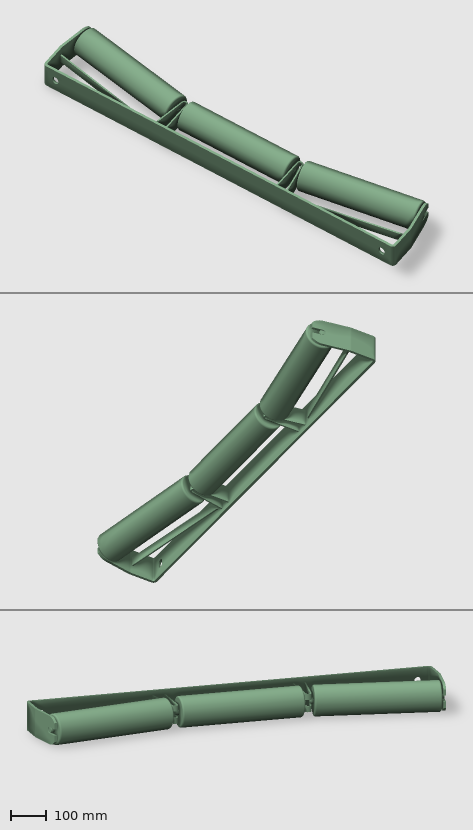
import cadquery as cq
import math

frame_length = 1190.0
frame_depth = 82.0
frame_thickness = 7.7
bend_radius = 12.0
crease_height = 86.0
crease_radius = 12.0
lean_length = 115.0
mount_hole_x = 553.0
mount_hole_width = 20.0
mount_hole_height = 26.0

tilt = 10.0
roller_diameter = 89.0
roller_length = 359.0
roller_edge_radius = 5.0
middle_roller_y = 101.0
outer_roller_x = 392.0
outer_roller_y = 136.0
shaft_diameter = 18.0
shaft_flat_width = 14.0
shaft_stub = 11.0

bracket_depth = 52.0
bracket_thickness = 4.3
bracket_bend_radius = 10.1
bracket_upright_x = 186.0
bracket_bend_y = 117.0

brace_depth = 29.0
brace_thickness = 5.0
brace_wall_height = 80.0
brace_end_x = 244.0
brace_slope = 11.0

tilt_sin = math.sin(math.radians(tilt))
tilt_cos = math.cos(math.radians(tilt))
tilt_tan = math.tan(math.radians(tilt))
wall_inner_x = frame_length / 2 - frame_thickness
slot_reach = 19.0
slot_cut_height = 71.0

roller_places = [
    (-outer_roller_x, outer_roller_y, -tilt),
    (0, middle_roller_y, 0),
    (outer_roller_x, outer_roller_y, tilt),
]


def place(shape, x, y, angle):
    """Move a shape made along X at the origin to a roller position."""
    return shape.rotate((0, 0, 0), (0, 0, 1), angle).translate((x, y, 0))


def mirror_pair(shape):
    """Return the shape and its mirror image across the YZ plane."""
    return [shape, shape.mirror("YZ")]


def extrude_mid(outline, depth):
    """Extrude an XY outline evenly to both sides of Z = 0."""
    return outline.extrude(depth / 2, both=True)


def make_shaft_slots():
    """Open-topped slots at both ends of every roller."""
    slots = cq.Workplane("XY")
    for x, y, angle in roller_places:
        for side in (-1, 1):
            start_x = roller_length / 2 if side > 0 else -roller_length / 2 - slot_reach
            round_bottom = (
                cq.Workplane("YZ", origin=(start_x, 0, 0))
                .circle(shaft_diameter / 2)
                .extrude(slot_reach)
            )
            opening = cq.Workplane("XY").box(
                slot_reach, slot_cut_height, shaft_diameter, centered=(False, False, True)
            ).translate((start_x, 0, 0))
            slot = round_bottom.union(opening)
            slots = slots.add(place(slot, x, y, angle))
    return slots.combine()


def make_wall_envelope():
    """Space that rounds the right end wall about the axis of the outer roller."""
    round_top = cq.Workplane("YZ").circle(frame_depth / 2).extrude(frame_length, both=True)
    below = (
        cq.Workplane("XY")
        .box(2 * frame_length, frame_length, frame_depth)
        .translate((0, -frame_length / 2, 0))
    )
    return place(round_top.union(below), outer_roller_x, outer_roller_y, tilt)


def make_frame(slots):
    half_length = frame_length / 2
    tip_x = half_length - lean_length * tilt_sin
    tip_y = crease_height + lean_length * tilt_cos
    inner_crease = crease_height - frame_thickness * math.tan(math.radians(tilt / 2))
    half = extrude_mid(
        cq.Workplane("XY").polyline([
            (0, 0),
            (half_length, 0),
            (half_length, crease_height),
            (tip_x, tip_y),
            (tip_x - frame_thickness * tilt_cos, tip_y - frame_thickness * tilt_sin),
            (wall_inner_x, inner_crease),
            (wall_inner_x, frame_thickness),
            (0, frame_thickness),
        ]).close(),
        frame_depth,
    )
    half = half.intersect(make_wall_envelope())
    bends = [
        (half_length, 0, bend_radius),
        (wall_inner_x, frame_thickness, bend_radius - frame_thickness),
        (half_length, crease_height, crease_radius + frame_thickness),
        (wall_inner_x, inner_crease, crease_radius),
    ]
    for x, y, radius in bends:
        bend_edge = cq.selectors.NearestToPointSelector((x, y, 0))
        half = half.edges(bend_edge).fillet(radius)
    right, left = mirror_pair(half)
    mount_holes = (
        cq.Workplane("XZ")
        .pushPoints([(-mount_hole_x, 0), (mount_hole_x, 0)])
        .slot2D(mount_hole_height, mount_hole_width, 90)
        .extrude(-frame_thickness)
    )
    return right.union(left).cut(mount_holes).cut(slots)


def make_bracket(slots):
    """Right-hand bracket, with its leaning leg on the +X side."""
    outer = bracket_bend_radius
    inner = outer - bracket_thickness
    bend_x = bracket_upright_x + outer

    def bend_point(radius, direction_x, direction_y):
        return (bend_x + radius * direction_x, bracket_bend_y + radius * direction_y)

    def leg_foot(top):
        return (top[0] + (top[1] - frame_thickness) * tilt_tan, frame_thickness)

    outer_top = bend_point(outer, tilt_cos, tilt_sin)
    inner_top = bend_point(inner, tilt_cos, tilt_sin)
    outline = (
        cq.Workplane("XY")
        .moveTo(bracket_upright_x, frame_thickness)
        .lineTo(*bend_point(outer, -1, 0))
        .threePointArc(bend_point(outer, 0, 1), outer_top)
        .lineTo(*leg_foot(outer_top))
        .lineTo(*leg_foot(inner_top))
        .lineTo(*inner_top)
        .threePointArc(bend_point(inner, 0, 1), bend_point(inner, -1, 0))
        .lineTo(bracket_upright_x + bracket_thickness, frame_thickness)
        .close()
    )
    return extrude_mid(outline, bracket_depth).cut(slots)


def make_brace():
    """Right-hand brace, trimmed flat where it rests on the base."""
    slope_tan = math.tan(math.radians(brace_slope))
    drop = brace_thickness / math.cos(math.radians(brace_slope))
    wall_bottom = brace_wall_height - drop
    toe_x = wall_inner_x - (wall_bottom - frame_thickness) / slope_tan
    end_top = brace_wall_height - (wall_inner_x - brace_end_x) * slope_tan
    outline = (
        cq.Workplane("XY")
        .polyline([
            (wall_inner_x, brace_wall_height),
            (wall_inner_x, wall_bottom),
            (toe_x, frame_thickness),
            (brace_end_x, end_top),
        ])
        .close()
    )
    return extrude_mid(outline, brace_depth)


def make_roller():
    """Level roller centred at the origin with a flatted shaft stub at each end."""
    barrel = (
        cq.Workplane("YZ", origin=(-roller_length / 2, 0, 0))
        .circle(roller_diameter / 2)
        .extrude(roller_length)
        .edges("%CIRCLE")
        .fillet(roller_edge_radius)
    )
    shaft_length = roller_length + 2 * shaft_stub
    flats = cq.Workplane("XY").box(shaft_length, shaft_diameter, shaft_flat_width)
    shaft = (
        cq.Workplane("YZ", origin=(-shaft_length / 2, 0, 0))
        .circle(shaft_diameter / 2)
        .extrude(shaft_length)
        .intersect(flats)
    )
    return barrel.union(shaft)


shaft_slots = make_shaft_slots()
frame = make_frame(shaft_slots)
brackets = mirror_pair(make_bracket(shaft_slots))
braces = mirror_pair(make_brace())
rollers = [place(make_roller(), x, y, angle) for x, y, angle in roller_places]

result = cq.Compound.makeCompound(
    [body.val() for body in [frame, *brackets, *braces, *rollers]]
)